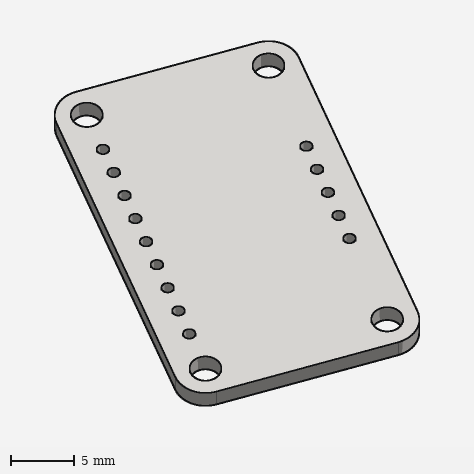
import cadquery as cq

length = 33.02
pitches_along_length = 13
pitches_along_width = 8
pitch = length / pitches_along_length
width = pitches_along_width * pitch
thickness = 1.6
corner_radius = pitch

mount_hole_diameter = 2.5
pin_hole_diameter = 1.0
back_row_pins = 5
front_row_pins = 9

mount_x = length / 2 - pitch
row_y = width / 2 - pitch


def pin_row(count, y):
    """Centres of a row of pin holes, symmetric about the middle of the board."""
    return [((i - (count - 1) / 2) * pitch, y) for i in range(count)]


board = cq.Workplane("XY").rect(length, width).extrude(thickness)
board = board.edges("|Z").fillet(corner_radius)

board = (
    board.faces(">Z").workplane(origin=(0, 0, thickness))
    .rect(2 * mount_x, 2 * row_y, forConstruction=True)
    .vertices()
    .hole(mount_hole_diameter)
)

pin_centres = pin_row(back_row_pins, row_y) + pin_row(front_row_pins, -row_y)
result = (
    board.faces(">Z").workplane(origin=(0, 0, thickness))
    .pushPoints(pin_centres)
    .hole(pin_hole_diameter)
)